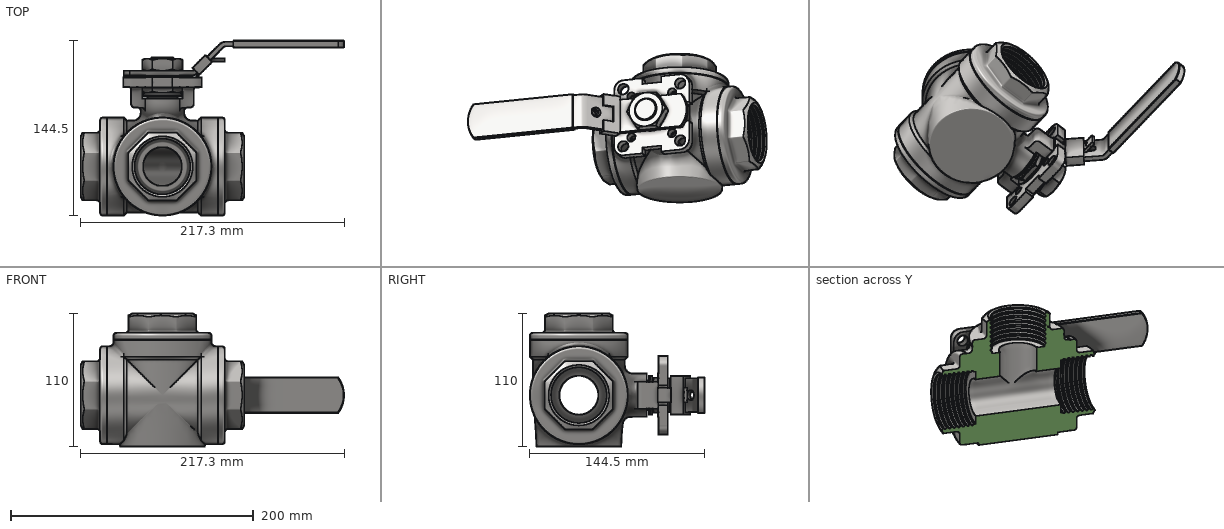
import cadquery as cq
import math


margin = 1.0

body_radius = 38.0
foot_end = 42.5
foot_draft = 4.0
foot_edge_radius = 0.8
ball_bore_diameter = 32.0
foot_blend = 1.0
sleeve_blend = 3.0

port_length = 67.5
cap_diameter = 81.0
cap_face = 51.5
cap_edge_radius = 2.5
shoulder_start = 29.3
shoulder_chamfer = cap_diameter / 2 - body_radius
seam_position = 45.5
seam_width = 0.5
seam_depth = 0.3

octagon_flats = 56.0
octagon_edge_radius = 1.2
octagon_base_fillet = 2.5
octagon_top_slope = 30.0
thread_mouth_diameter = 50.0
thread_minor_diameter = 46.0
thread_mouth_depth = 1.2
thread_start = 2.0
thread_pitch = 4.0
thread_groove_width = 2.6
thread_groove_depth = 1.3
thread_groove_count = 7
thread_depth = thread_start + thread_pitch * thread_groove_count

boss_diameter = 36.0
boss_top = 56.0
boss_fillet = 6.0
arm_inner = 16.5
arm_outer = 26.0
arm_width = 22.0
arm_bottom = 48.5
arm_corner_radius = 3.5
arm_root_fillet = 2.5
arm_top_fillet = 1.6

flange_size = 65.0
flange_bottom = 65.5
flange_thickness = 8.0
flange_top = flange_bottom + flange_thickness
flange_corner_radius = 8.0
flange_notch_width = 16.4
flange_notch_depth = 5.0
outer_bolt_circle = 70.0
outer_bolt_diameter = 9.0
inner_bolt_circle = 50.0
inner_bolt_diameter = 7.0
flange_ring_diameter = 36.0
flange_ring_height = 0.5

neck_diameter = 25.0
stem_diameter = 19.0
stem_top = 90.0
stem_chamfer = 0.8
lever_washer_diameter = 28.0
lock_washer_diameter = 32.0
nut_flats = 29.0
nut_chamfer_slope = 30.0
gland_nut_bottom = 60.7
lever_nut_top = 89.0
lock_washer_levels = ((57.6, 58.2), (58.6, gland_nut_bottom))

lever_thickness = 4.0
lever_width = 28.0
lever_bottom = 75.0
lever_top = lever_bottom + lever_thickness
lever_tail = 32.0
lever_end_sagitta = 5.0
lever_bend_x = 25.3
lever_rise = 24.0
bend_inner_radius = 3.0
bend_outer_radius = bend_inner_radius + lever_thickness
lever_end = 149.84
lever_hole_diameter = 8.0
lever_hole_y = 94.8

grip_start = 58.4
grip_thickness = 6.0
grip_width = 29.5
grip_edge_chamfer = 0.5
grip_top = 103.96

lock_wall = 2.0
lock_start = 1.25
lock_length = 15.0
lock_slot_width = 13.0
lock_slot_length = 9.0
lock_tab_width = 12.0
lock_tab_end = 51.5
lock_tab_bottom = 86.6
lock_tab_thickness = 2.6
lock_pin_x = 28.9
lock_pin_thickness = 2.0
lock_pin_bottom = 65.0


def disc_y(diameter, start, end):
    """Cylinder about the stem axis between two heights along Y."""
    plane = cq.Workplane("XZ", origin=(0, start, 0))
    return plane.circle(diameter / 2).extrude(start - end)


def block(x_range, y_range, depth):
    """Box with the given X and Y ranges, centred on Z = 0."""
    length = x_range[1] - x_range[0]
    height = y_range[1] - y_range[0]
    middle = (sum(x_range) / 2, sum(y_range) / 2, 0)
    return cq.Workplane("XY").box(length, height, depth).translate(middle)


def revolve_z(outline):
    """Solid of revolution about Z of an outline given as (radius, z) points."""
    return cq.Workplane("XZ").polyline(outline).close().revolve(360, (0, 0, 0), (0, 1, 0))


def chamfered_cone(top_radius, top, slope, bottom):
    """Solid of revolution about Z whose top falls away from top_radius at the slope angle."""
    reach = 2 * top_radius
    drop = (reach - top_radius) * math.tan(math.radians(slope))
    return revolve_z([(0, bottom), (reach, bottom), (reach, top - drop), (top_radius, top), (0, top)])


def along_x(shape, side):
    """Turn a shape built along +Z to point along +X (side 1) or -X (side -1)."""
    return shape.rotate((0, 0, 0), (0, 1, 0), side * 90)


def fillet_edges(shape, radius, is_wanted):
    """Fillet the edges of a shape that pass the is_wanted test."""
    edges = [edge for edge in shape.edges().vals() if is_wanted(edge)]
    return shape.newObject(edges).fillet(radius)


def slab_selector(level):
    """Select everything centred close to the horizontal plane at a height along Z."""
    reach = cap_diameter
    return cq.selectors.BoxSelector((-reach, -reach, level - margin), (reach, reach, level + margin))


def make_sleeve():
    """Round sleeve with a chamfered shoulder that carries a cap, built along +Z."""
    radius = cap_diameter / 2
    return revolve_z([
        (0, 0),
        (body_radius, 0),
        (body_radius, shoulder_start),
        (radius, shoulder_start + shoulder_chamfer),
        (radius, seam_position),
        (0, seam_position),
    ])


def is_foot_crossing(edge):
    """True for the curves where the drafted foot meets the horizontal run."""
    return edge.geomType() == "BSPLINE" and edge.Length() > 2 * body_radius


def is_boss_root(edge):
    """True for the curves around the stem boss where it meets the body."""
    box = edge.BoundingBox()
    reach = boss_diameter / 2 + margin
    inside = max(abs(box.xmin), abs(box.xmax), abs(box.zmin), abs(box.zmax)) < reach
    return inside and body_radius / 2 < box.ymin and box.ymax < boss_top - margin


def make_sleeve_corner():
    """Blended crossing of the upper sleeve with the +X sleeve, outside their shoulders."""
    radius = cap_diameter / 2
    upper = cq.Workplane("XY").circle(radius).extrude(seam_position)
    crossing = upper.union(along_x(upper, 1))
    crossing = fillet_edges(crossing, sleeve_blend, lambda edge: edge.geomType() == "ELLIPSE")
    inner = shoulder_start + shoulder_chamfer
    size = seam_position - inner
    middle = inner + size / 2
    window = cq.Workplane("XY").box(size, cap_diameter, size).translate((middle, 0, middle))
    return crossing.intersect(window)


def make_body():
    """Crossing body cylinders, drafted foot, sleeves and stem boss, blended together."""
    run = cq.Workplane("YZ").circle(body_radius).extrude(seam_position, both=True)
    foot = cq.Workplane("XY").circle(body_radius).extrude(-foot_end, taper=foot_draft)
    foot = foot.faces("<Z").edges().fillet(foot_edge_radius)
    body = run.union(foot)
    sleeve = make_sleeve()
    body = body.union(sleeve)
    for side in (-1, 1):
        body = body.union(along_x(sleeve, side))
    body = fillet_edges(body, foot_blend, is_foot_crossing)
    body = body.union(disc_y(boss_diameter, body_radius / 2, boss_top))
    body = fillet_edges(body, boss_fillet, is_boss_root)
    corner = make_sleeve_corner()
    return body.union(corner).union(corner.mirror("YZ"))


def make_cap():
    """Cap with a flared octagonal wrench end, built along +Z."""
    corner_diameter = octagon_flats / math.cos(math.pi / 8)
    octagon = cq.Workplane("XY", origin=(0, 0, cap_face)).polygon(8, corner_diameter)
    octagon = octagon.extrude(port_length - cap_face)
    octagon = octagon.rotate((0, 0, 0), (0, 0, 1), 180 / 8)
    octagon = octagon.edges("|Z").fillet(octagon_edge_radius)
    octagon = octagon.intersect(
        chamfered_cone(thread_mouth_diameter / 2, port_length, octagon_top_slope, cap_face)
    )
    lid = cq.Workplane("XY", origin=(0, 0, seam_position)).circle(cap_diameter / 2)
    lid = lid.extrude(cap_face - seam_position)
    cap = lid.union(octagon)
    cap = fillet_edges(
        cap.edges(slab_selector(cap_face)),
        octagon_base_fillet,
        lambda edge: edge.Length() < octagon_flats,
    )
    rim = cap.edges(slab_selector(cap_face)).edges("%CIRCLE")
    return cap.newObject([max(rim.vals(), key=lambda edge: edge.Length())]).fillet(cap_edge_radius)


def make_seam():
    """Shallow ring groove between a sleeve and its cap, built along +Z."""
    ring = cq.Workplane("XY", origin=(0, 0, seam_position)).circle(cap_diameter / 2 + margin)
    return ring.circle(cap_diameter / 2 - seam_depth).extrude(seam_width)


def make_port_bore():
    """Threaded socket, its ring grooves and the bore to the ball centre, built along +Z."""
    minor = thread_minor_diameter / 2
    bore = ball_bore_diameter / 2
    outline = [(0, 0), (bore, 0), (bore, port_length - thread_depth), (minor, port_length - thread_depth)]
    for index in reversed(range(thread_groove_count)):
        top = port_length - thread_start - index * thread_pitch
        outline += [
            (minor, top - thread_groove_width),
            (minor + thread_groove_depth, top - thread_groove_width / 2),
            (minor, top),
        ]
    outline += [
        (minor, port_length - thread_mouth_depth),
        (thread_mouth_diameter / 2, port_length),
        (0, port_length),
    ]
    return revolve_z(outline)


def make_arm():
    """Bracket arm on the +X side from the stem boss up to the mounting flange."""
    arm = block((arm_inner, arm_outer), (arm_bottom, flange_bottom), arm_width)
    arm = arm.edges(">X and <Y").fillet(arm_corner_radius)
    foot = block((0, arm_inner), (arm_bottom, boss_top), arm_width)
    return arm.union(foot)


def make_root_profile(corner_x, corner_y, radius):
    """Outline of a concave fillet between a wall facing +X and a ceiling above it."""
    return (
        cq.Workplane("XY")
        .moveTo(corner_x, corner_y)
        .lineTo(corner_x + radius, corner_y)
        .radiusArc((corner_x, corner_y - radius), -radius)
        .close()
    )


def make_brackets():
    """Both bracket arms with their fillets at the boss and at the flange."""
    boss_radius = boss_diameter / 2
    arm = make_arm()
    arm = arm.union(
        make_root_profile(arm_outer, flange_bottom, arm_top_fillet).extrude(arm_width / 2, both=True)
    )
    ring = make_root_profile(boss_radius, arm_bottom, arm_root_fillet)
    ring = ring.revolve(360, (0, 0, 0), (0, 1, 0))
    span = boss_radius + arm_root_fillet
    ring = ring.intersect(block((-span, span), (0, boss_top), arm_width))
    return arm.union(arm.mirror("YZ")).union(ring)


def make_flange():
    """Square mounting flange with edge notches and two sets of corner bolt holes."""
    half = flange_size / 2
    flange = block((-half, half), (flange_bottom, flange_top), flange_size)
    flange = flange.edges("|Y").fillet(flange_corner_radius)
    notch = block(
        (half - flange_notch_depth, half + margin), (flange_bottom, flange_top), flange_notch_width
    )
    for quarter in range(4):
        turn = 90 * quarter
        flange = flange.cut(notch.rotate((0, 0, 0), (0, 1, 0), turn))
        for circle, diameter in (
            (outer_bolt_circle, outer_bolt_diameter),
            (inner_bolt_circle, inner_bolt_diameter),
        ):
            hole = disc_y(diameter, flange_bottom, flange_top).translate((circle / 2, 0, 0))
            flange = flange.cut(hole.rotate((0, 0, 0), (0, 1, 0), turn + 45))
    return flange.union(disc_y(flange_ring_diameter, flange_bottom - flange_ring_height, flange_bottom))


def make_nut(bottom, top, chamfered_ends):
    """Hexagon nut about the stem axis with corners towards +X and -X."""
    corner_radius = nut_flats / 2 / math.cos(math.pi / 6)
    nut = cq.Workplane("XZ", origin=(0, bottom, 0)).polygon(6, 2 * corner_radius).extrude(bottom - top)
    cone = chamfered_cone(nut_flats / 2, 0, nut_chamfer_slope, -nut_flats)
    for end in chamfered_ends:
        level = top if end > 0 else bottom
        nut = nut.intersect(cone.rotate((0, 0, 0), (1, 0, 0), -90 * end).translate((0, level, 0)))
    return nut


def make_stem():
    """Stem with its washers and both nuts."""
    stem = disc_y(stem_diameter, boss_top, stem_top).faces(">Y").chamfer(stem_chamfer)
    stem = stem.union(disc_y(neck_diameter, boss_top - margin, gland_nut_bottom))
    for start, end in lock_washer_levels:
        stem = stem.union(disc_y(lock_washer_diameter, start, end))
    stem = stem.union(make_nut(gland_nut_bottom, flange_bottom, (-1,)))
    stem = stem.union(disc_y(lever_washer_diameter, flange_top, lever_bottom))
    return stem.union(make_nut(lever_top, lever_nut_top, (-1, 1)))


def slope_point(along, across):
    """Point on the sloped lever part: distance along it and offset from its upper face."""
    diagonal = math.sqrt(0.5)
    return (
        lever_bend_x + (along + across) * diagonal,
        lever_top + (along - across) * diagonal,
    )


def make_slope_plate(along, across, depth):
    """Plate parallel to the sloped lever part, given its two ranges and its depth in Z."""
    corners = [
        slope_point(along[0], across[0]),
        slope_point(along[1], across[0]),
        slope_point(along[1], across[1]),
        slope_point(along[0], across[1]),
    ]
    return cq.Workplane("XY").polyline(corners).close().extrude(depth / 2, both=True)


def make_end_outline(start, end, width, sagitta):
    """Flat plan, in X and Z, of a bar whose far end is a shallow arc."""
    half = width / 2
    shoulder = end - math.copysign(sagitta, end)
    return (
        cq.Workplane("XZ")
        .moveTo(start, -half)
        .lineTo(shoulder, -half)
        .threePointArc((end, 0), (shoulder, half))
        .lineTo(start, half)
        .close()
    )


def bend_selector(x, y):
    """Select the edge across the lever strip that passes through a point in X and Y."""
    reach = lever_thickness / 4
    return cq.selectors.BoxSelector((x - reach, y - reach, -reach), (x + reach, y + reach, reach))


def make_lever():
    """Cranked lever strip with a rounded tail, two 45 degree bends and a thicker grip."""
    shift = lever_thickness * math.tan(math.pi / 8)
    high_top = lever_top + lever_rise
    high_bottom = high_top - lever_thickness
    high_bend_x = lever_bend_x + lever_rise
    strip = (
        cq.Workplane("XY")
        .polyline([
            (-lever_tail, lever_top),
            (lever_bend_x, lever_top),
            (high_bend_x, high_top),
            (grip_start + margin, high_top),
            (grip_start + margin, high_bottom),
            (high_bend_x + shift, high_bottom),
            (lever_bend_x + shift, lever_bottom),
            (-lever_tail, lever_bottom),
        ])
        .close()
        .extrude(lever_width / 2, both=True)
    )
    strip = strip.edges(bend_selector(lever_bend_x + shift, lever_bottom)).fillet(bend_outer_radius)
    strip = strip.edges(bend_selector(high_bend_x, high_top)).fillet(bend_outer_radius)
    strip = strip.edges(bend_selector(lever_bend_x, lever_top)).fillet(bend_inner_radius)
    strip = strip.edges(bend_selector(high_bend_x + shift, high_bottom)).fillet(bend_inner_radius)
    plan = make_end_outline(lever_end, -lever_tail, lever_width, lever_end_sagitta)
    strip = strip.intersect(plan.extrude(-grip_top))

    grip = make_end_outline(grip_start, lever_end, grip_width, lever_end_sagitta)
    grip = grip.extrude(-grip_thickness).translate((0, grip_top - grip_thickness, 0))
    grip = grip.faces("<Y or >Y").edges().chamfer(grip_edge_chamfer)
    return strip.union(grip)


def make_lock():
    """Sliding lock sleeve around the sloped lever part, with a finger tab and a locking pin."""
    along = (lock_start, lock_start + lock_length)
    across = (-lock_wall, lever_thickness + lock_wall)
    lock = make_slope_plate(along, across, lever_width + 2 * lock_wall)
    slot = make_slope_plate((along[1] - lock_slot_length, along[1]), (-lock_wall, 0), lock_slot_width)
    lock = lock.cut(slot)
    tab_root = slope_point(along[1], across[1])[0] - lock_wall
    tab_top = lock_tab_bottom + lock_tab_thickness
    tab = block((tab_root, lock_tab_end), (lock_tab_bottom, tab_top), lock_tab_width)
    pin_root = slope_point(along[0], across[1])[1] + lock_wall
    pin_half = lock_pin_thickness / 2
    pin_sides = (lock_pin_x - pin_half, lock_pin_x + pin_half)
    pin = block(pin_sides, (lock_pin_bottom, pin_root), lock_tab_width)
    return lock.union(tab).union(pin)


def make_lock_hole():
    """Padlock hole square through the sloped lever part and the lock."""
    centre_x = lever_bend_x + lever_hole_y - lever_top
    reach = lever_thickness + 2 * lock_wall
    plane = cq.Plane(origin=(centre_x, lever_hole_y, 0), xDir=(0, 0, 1), normal=(1, -1, 0))
    return cq.Workplane(plane).circle(lever_hole_diameter / 2).extrude(reach, both=True)


def make_valve():
    """Complete valve as one solid."""
    valve = make_body()
    cap = make_cap()
    bore = make_port_bore()
    seam = make_seam()
    place_port = [lambda shape: shape, lambda shape: along_x(shape, 1), lambda shape: along_x(shape, -1)]
    for place in place_port:
        valve = valve.union(place(cap))
    for place in place_port:
        valve = valve.cut(place(seam))
        valve = valve.cut(place(bore))
    valve = valve.union(make_brackets()).union(make_flange()).union(make_stem())
    return valve.union(make_lever().union(make_lock()).cut(make_lock_hole()))


result = make_valve()